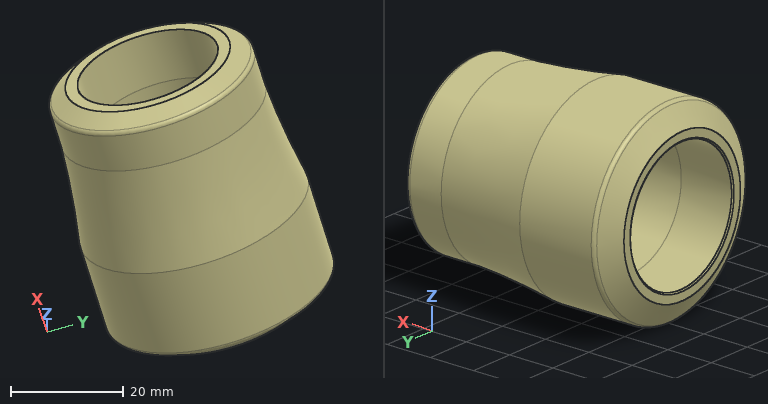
import cadquery as cq
import math

length = 50.0
large_radius = 42.4 / 2
small_radius = 38.0 / 2
large_bore_radius = 28.2 / 2
small_bore_radius = 26.0 / 2

reduction_start = 20.0
reduction_end = 40.0
bore_cone_start = 12.0

bevel_angle = math.radians(30)
large_face_radius = 16.2
small_face_radius = 15.25
edge_round = 1.0
bore_chamfer = 0.3

waist_sag = 0.3


def outer_body():
    """Solid of revolution with bevelled ends and a gently hollow reduction."""
    large_bevel = (large_radius - large_face_radius) * math.tan(bevel_angle)
    small_bevel = (small_radius - small_face_radius) * math.tan(bevel_angle)
    waist_middle = (reduction_start + reduction_end) / 2
    waist_radius = (large_radius + small_radius) / 2 - waist_sag
    body = (
        cq.Workplane("XY")
        .lineTo(0, large_face_radius)
        .lineTo(large_bevel, large_radius)
        .lineTo(reduction_start, large_radius)
        .threePointArc((waist_middle, waist_radius), (reduction_end, small_radius))
        .lineTo(length - small_bevel, small_radius)
        .lineTo(length, small_face_radius)
        .lineTo(length, 0)
        .close()
        .revolve(360, (0, 0, 0), (1, 0, 0))
    )
    for station in (large_bevel, length - small_bevel):
        box_start = (station - edge_round, -length, -length)
        box_end = (station + edge_round, length, length)
        corner_region = cq.selectors.BoxSelector(box_start, box_end)
        body = body.edges("%CIRCLE").edges(corner_region).fillet(edge_round)
    return body


def bore():
    """Through bore: chamfered mouth, large cylinder, cone, then small cylinder."""
    return (
        cq.Workplane("XY")
        .lineTo(0, large_bore_radius + bore_chamfer)
        .lineTo(bore_chamfer, large_bore_radius)
        .lineTo(bore_cone_start, large_bore_radius)
        .lineTo(reduction_end, small_bore_radius)
        .lineTo(length, small_bore_radius)
        .lineTo(length, 0)
        .close()
        .revolve(360, (0, 0, 0), (1, 0, 0))
    )


result = outer_body().cut(bore()).translate((-length / 2, 0, 0))